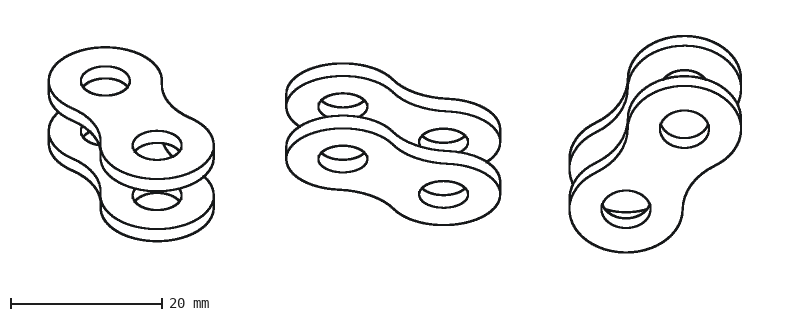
import cadquery as cq
import math

length = 30.88
end_diameter = 15.0
hole_diameter = 6.5
waist_radius = 9.08
plate_thickness = 2.0
overall_height = 10.25

end_radius = end_diameter / 2
half_length = length / 2
half_pitch = half_length - end_radius

center_distance = end_radius + waist_radius
waist_center_y = math.sqrt(center_distance**2 - half_pitch**2)
waist_half_width = waist_center_y - waist_radius
tangent_x = half_pitch * waist_radius / center_distance
tangent_y = waist_center_y * end_radius / center_distance


def link_plate(bottom_z):
    """Waisted link plate with a pin hole at the centre of each round end."""
    outline = (
        cq.Workplane("XY", origin=(0, 0, bottom_z))
        .moveTo(-tangent_x, tangent_y)
        .threePointArc((0, waist_half_width), (tangent_x, tangent_y))
        .threePointArc((half_length, 0), (tangent_x, -tangent_y))
        .threePointArc((0, -waist_half_width), (-tangent_x, -tangent_y))
        .threePointArc((-half_length, 0), (-tangent_x, tangent_y))
        .close()
    )
    holes = (
        cq.Workplane("XY", origin=(0, 0, bottom_z))
        .pushPoints([(-half_pitch, 0), (half_pitch, 0)])
        .circle(hole_diameter / 2)
        .extrude(plate_thickness)
    )
    return outline.extrude(plate_thickness).cut(holes)


plate_bottoms = [-overall_height / 2, overall_height / 2 - plate_thickness]
plates = [link_plate(bottom_z).solids().val() for bottom_z in plate_bottoms]

result = cq.Compound.makeCompound(plates)